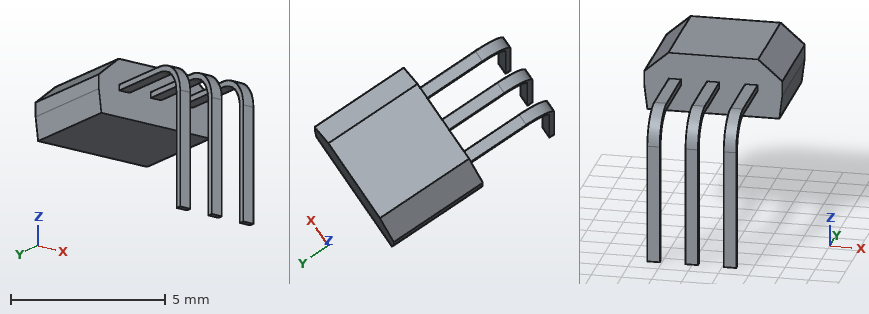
import cadquery as cq

housing_width = 4.58
housing_length = 3.495
housing_height = 2.0
bevel_width = 0.8
bevel_height = 0.7
side_height = 0.48
base_inset = 0.1

overall_length = 6.85
overall_height = 6.0
lead_count = 3
lead_pitch = 1.27
lead_width = 0.41
lead_thickness = 0.2
bend_outer_radius = 1.11

bend_inner_radius = bend_outer_radius - lead_thickness
lead_reach = overall_length - housing_length
bend_start_y = bend_outer_radius - lead_reach
lead_tip_z = housing_height - overall_height
lead_top_z = bend_outer_radius


def make_housing():
    """Symmetric block with bevelled top edges and tapered lower sides."""
    half_width = housing_width / 2
    bevel_bottom_z = housing_height - bevel_height
    return (
        cq.Workplane("XZ")
        .moveTo(0, 0)
        .lineTo(half_width - base_inset, 0)
        .lineTo(half_width, bevel_bottom_z - side_height)
        .lineTo(half_width, bevel_bottom_z)
        .lineTo(half_width - bevel_width, housing_height)
        .lineTo(0, housing_height)
        .mirrorY()
        .extrude(-housing_length)
    )


def make_lead(center_x):
    """Bent strip that butts against the front face of the housing."""
    return (
        cq.Workplane("YZ", origin=(center_x, 0, 0))
        .moveTo(0, lead_top_z)
        .lineTo(bend_start_y, lead_top_z)
        .radiusArc((-lead_reach, 0), -bend_outer_radius)
        .lineTo(-lead_reach, lead_tip_z)
        .lineTo(-lead_reach + lead_thickness, lead_tip_z)
        .lineTo(-lead_reach + lead_thickness, 0)
        .radiusArc((bend_start_y, bend_inner_radius), bend_inner_radius)
        .lineTo(0, bend_inner_radius)
        .close()
        .extrude(lead_width / 2, both=True)
    )


housing = make_housing()

leads = []
for index in range(lead_count):
    lead_x = (index - (lead_count - 1) / 2) * lead_pitch
    leads.append(make_lead(lead_x).val())

result = cq.Compound.makeCompound([housing.val(), *leads])